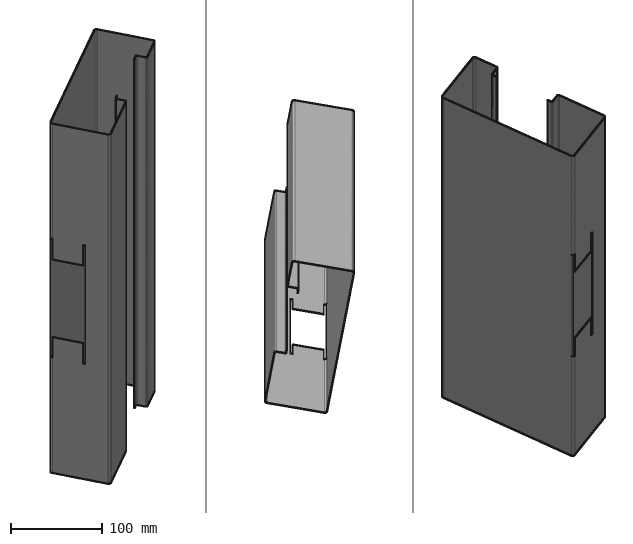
import cadquery as cq

depth = 70.0
width = 170.0
height = 500.0

thickness = 1.0
bend_radius = 3.0
lip_bend_radius = 2.0
return_bend_radius = 1.5

front_flange = 62.0
back_flange = 31.5
lip_depth = 13.5
lip_return = 5.5

window_left = 1.0
window_right = 41.0
window_height = 111.0
slit_width = 2.5
slit_span = 169.0


def upright_box(x_min, x_max, y_min, y_max, z_size):
    """Box between the given X and Y limits, centred on the middle of the height."""
    return (
        cq.Workplane("XY")
        .box(x_max - x_min, y_max - y_min, z_size, centered=(False, False, True))
        .translate((x_min, y_min, height / 2))
    )


def round_bend(body, x, y, outer_radius, inward_x, inward_y):
    """Round the outer edge at (x, y) and the inner edge one sheet thickness away."""
    inner_x = x + inward_x * thickness
    inner_y = y + inward_y * thickness
    for edge_x, edge_y, radius in (
        (x, y, outer_radius),
        (inner_x, inner_y, outer_radius - thickness),
    ):
        edge = cq.selectors.NearestToPointSelector((edge_x, edge_y, height / 2))
        body = body.edges("|Z").edges(edge).fillet(radius)
    return body


def folded_channel():
    """Constant section: back web, two side walls, two flanges with stepped lips."""
    front_lip = front_flange
    back_lip = width - back_flange
    lip_end = depth - lip_depth
    inner_depth = depth - thickness
    outline = [
        (0, 0),
        (depth, 0),
        (depth, front_lip),
        (lip_end + thickness, front_lip),
        (lip_end + thickness, front_lip + lip_return),
        (lip_end, front_lip + lip_return),
        (lip_end, front_lip - thickness),
        (inner_depth, front_lip - thickness),
        (inner_depth, thickness),
        (thickness, thickness),
        (thickness, width - thickness),
        (inner_depth, width - thickness),
        (inner_depth, back_lip + thickness),
        (lip_end, back_lip + thickness),
        (lip_end, back_lip - lip_return),
        (lip_end + thickness, back_lip - lip_return),
        (lip_end + thickness, back_lip),
        (depth, back_lip),
        (depth, width),
        (0, width),
    ]
    body = cq.Workplane("XY").polyline(outline).close().extrude(height)
    bends = [
        (0, 0, bend_radius, 1, 1),
        (depth, 0, bend_radius, -1, 1),
        (0, width, bend_radius, 1, -1),
        (depth, width, bend_radius, -1, -1),
        (depth, front_lip, lip_bend_radius, -1, -1),
        (depth, back_lip, lip_bend_radius, -1, 1),
        (lip_end, front_lip - thickness, return_bend_radius, 1, 1),
        (lip_end, back_lip + thickness, return_bend_radius, 1, -1),
    ]
    for bend in bends:
        body = round_bend(body, *bend)
    return body


def window_cutter():
    """Window and its two slits, reaching through the -Y wall and its bend."""
    y_min = -thickness
    y_max = bend_radius
    window = upright_box(window_left, window_right, y_min, y_max, window_height)
    left_slit = upright_box(window_left, window_left + slit_width, y_min, y_max, slit_span)
    right_slit = upright_box(window_right - slit_width, window_right, y_min, y_max, slit_span)
    return window.union(left_slit).union(right_slit)


result = folded_channel().cut(window_cutter())